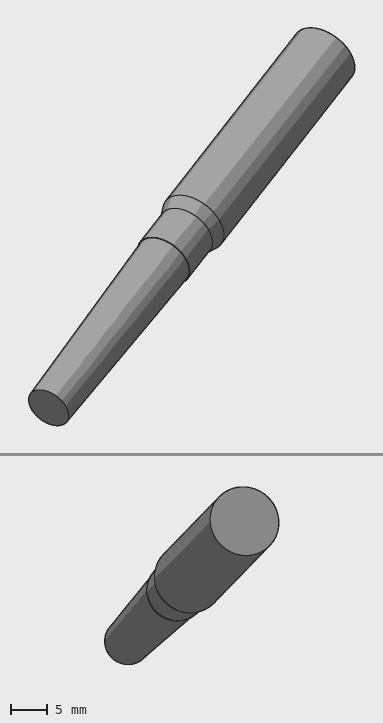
import cadquery as cq

total_length = 76.2
tip_length = 31.8
neck_length = 6.25
shoulder_length = 2.0
shank_length = total_length - tip_length - neck_length - shoulder_length

shank_diameter = 9.5
neck_diameter = 8.15
tip_base_diameter = 7.9
tip_end_diameter = 6.25

tip_end_y = -total_length / 2
joint_y = tip_end_y + tip_length
neck_end_y = joint_y + neck_length
shank_start_y = neck_end_y + shoulder_length
shank_end_y = shank_start_y + shank_length


def revolve_about_y(outline):
    """Revolve a closed outline of (radius, y) points about the Y axis."""
    return cq.Workplane("XY").polyline(outline).close().revolve(360, (0, 0), (0, 1))


def make_holder():
    """Cylindrical shank that steps down through a conical shoulder to a neck."""
    return revolve_about_y([
        (0, joint_y),
        (neck_diameter / 2, joint_y),
        (neck_diameter / 2, neck_end_y),
        (shank_diameter / 2, shank_start_y),
        (shank_diameter / 2, shank_end_y),
        (0, shank_end_y),
    ])


def make_tip():
    """Solid tapered tip that butts against the flat end of the neck."""
    return revolve_about_y([
        (0, tip_end_y),
        (tip_end_diameter / 2, tip_end_y),
        (tip_base_diameter / 2, joint_y),
        (0, joint_y),
    ])


holder = make_holder()
tip = make_tip()
result = cq.Compound.makeCompound([holder.val(), tip.val()])